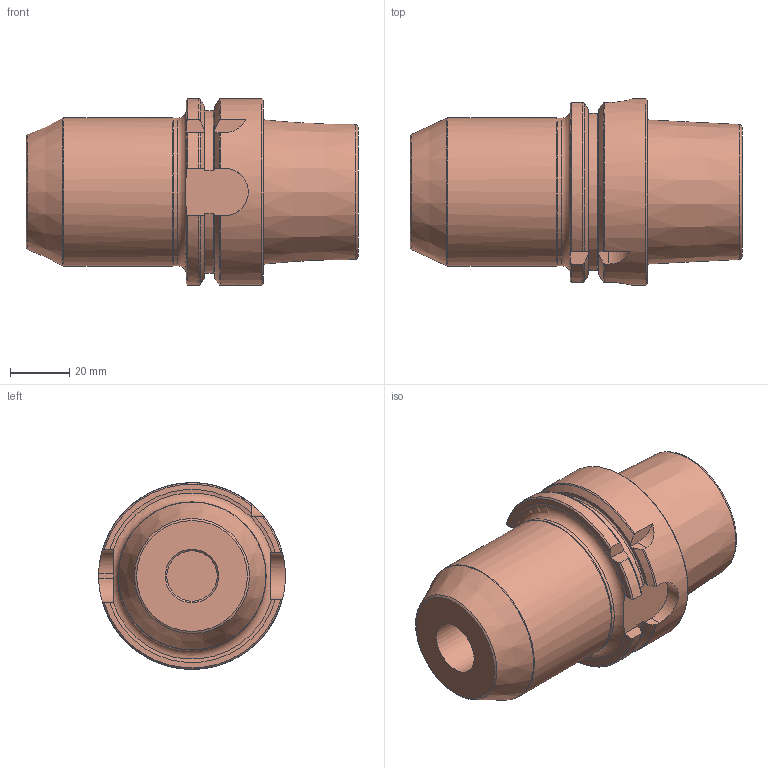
import cadquery as cq
import math


mid_arc = math.sqrt(0.5)

total_length = 112.0
nose_cone_length = 12.6
barrel_end = 49.5
flange_start = 54.0
flange_end = 80.0

barrel_radius = 50.0 / 2
nose_radius = 19.2
nose_chamfer = 0.5
barrel_edge_fillet = 0.7
neck_radius = 49.8 / 2
neck_step_length = 0.4
neck_fillet = 3.15

flange_radius = 63.0 / 2
flange_chamfer = 0.5
face_recess_radius = 29.2
face_recess_depth = 0.15
recess_floor = flange_start + face_recess_depth
neck_end = recess_floor - neck_fillet
groove_radius = 55.0 / 2
groove_start = 60.2
groove_end = 63.7
groove_bevel_depth = 2.4
groove_bevel_angle = 34.0
groove_edge_fillet = 0.5
groove_root_fillet = 0.5

shank_radius = 24.32
shank_taper = 1.0 / 20
shank_end_fillet = 1.0

bore_radius = 18.0 / 2
bore_bottom_chamfer = 0.5
bore_depth = 50.0

slot_floor = 26.5
slot_end = 75.0
mill_radius = 8.0
front_slot_width = 2 * mill_radius
back_slot_width = 18.0
notch_corner = 20.0
cut_start = neck_end
mill_arc_start = slot_end - mill_radius
mill_arc_middle = mill_radius * mid_arc


def revolve_about_x(profile):
    """Full turn of an XY profile about the X axis."""
    return profile.close().revolve(360, (0, 0, 0), (1, 0, 0))


class RingSelector(cq.Selector):
    """Selects the circular edge of a given radius at a given X."""

    tolerance = 1e-4

    def __init__(self, x, radius):
        self.x = x
        self.radius = radius

    def filter(self, edges):
        return [edge for edge in edges if self.matches(edge)]

    def matches(self, edge):
        if edge.geomType() != "CIRCLE":
            return False
        x_error = abs(edge.Center().x - self.x)
        return max(x_error, abs(edge.radius() - self.radius)) < self.tolerance


def make_body():
    """Turned body with its rounded and chamfered edges, before any cuts."""
    bevel_run = groove_bevel_depth * math.tan(math.radians(groove_bevel_angle))
    bevel_foot = flange_radius - groove_bevel_depth
    fillet_middle = neck_fillet * mid_arc
    fillet_end_radius = neck_radius + neck_fillet
    shank_end_radius = shank_radius - shank_taper * (total_length - flange_end)
    profile = (
        cq.Workplane("XY")
        .moveTo(0, 0)
        .lineTo(0, nose_radius)
        .lineTo(nose_cone_length, barrel_radius)
        .lineTo(barrel_end, barrel_radius)
        .lineTo(barrel_end + neck_step_length, neck_radius)
        .lineTo(neck_end, neck_radius)
        .threePointArc(
            (neck_end + fillet_middle, fillet_end_radius - fillet_middle),
            (recess_floor, fillet_end_radius),
        )
        .lineTo(flange_start, face_recess_radius)
        .lineTo(flange_start, flange_radius)
        .lineTo(groove_start - bevel_run, flange_radius)
        .lineTo(groove_start, bevel_foot)
        .lineTo(groove_start, groove_radius)
        .lineTo(groove_end, groove_radius)
        .lineTo(groove_end, bevel_foot)
        .lineTo(groove_end + bevel_run, flange_radius)
        .lineTo(flange_end, flange_radius)
        .lineTo(flange_end, shank_radius)
        .lineTo(total_length, shank_end_radius)
        .lineTo(total_length, 0)
    )
    body = revolve_about_x(profile)
    body = body.edges(RingSelector(0, nose_radius)).chamfer(nose_chamfer)
    body = body.edges(RingSelector(nose_cone_length, barrel_radius)).fillet(barrel_edge_fillet)
    body = body.edges(RingSelector(flange_start, flange_radius)).chamfer(flange_chamfer)
    body = body.edges(RingSelector(flange_end, flange_radius)).chamfer(flange_chamfer)
    body = body.edges(RingSelector(groove_start - bevel_run, flange_radius)).fillet(groove_edge_fillet)
    body = body.edges(RingSelector(groove_end + bevel_run, flange_radius)).fillet(groove_edge_fillet)
    body = body.edges(RingSelector(groove_end, groove_radius)).fillet(groove_root_fillet)
    return body.edges(RingSelector(total_length, shank_end_radius)).fillet(shank_end_fillet)


def make_bore():
    """Straight bore cutter with a chamfered bottom edge."""
    profile = (
        cq.Workplane("XY")
        .moveTo(0, 0)
        .lineTo(0, bore_radius)
        .lineTo(bore_depth - bore_bottom_chamfer, bore_radius)
        .lineTo(bore_depth, bore_radius - bore_bottom_chamfer)
        .lineTo(bore_depth, 0)
    )
    return revolve_about_x(profile)


def make_slot(width, side):
    """Slot cutter with a rounded end; side is -1 for -Y and +1 for +Y."""
    half_width = width / 2
    flat_half = half_width - mill_radius
    outline = (
        cq.Workplane("XZ", origin=(0, side * slot_floor, 0))
        .moveTo(cut_start, -half_width)
        .lineTo(mill_arc_start, -half_width)
        .threePointArc(
            (mill_arc_start + mill_arc_middle, -flat_half - mill_arc_middle),
            (slot_end, -flat_half),
        )
    )
    if flat_half > 0:
        outline = outline.lineTo(slot_end, flat_half)
    outline = (
        outline.threePointArc(
            (mill_arc_start + mill_arc_middle, flat_half + mill_arc_middle),
            (mill_arc_start, half_width),
        )
        .lineTo(cut_start, half_width)
        .close()
    )
    return outline.extrude(-side * flange_radius)


def make_notch():
    """Corner notch in the -Y +Z quadrant; its floor curves up at the far end."""
    arc_center = notch_corner + mill_radius
    return (
        cq.Workplane("XZ", origin=(0, -notch_corner, 0))
        .moveTo(cut_start, notch_corner)
        .lineTo(mill_arc_start, notch_corner)
        .threePointArc(
            (mill_arc_start + mill_arc_middle, arc_center - mill_arc_middle),
            (slot_end, arc_center),
        )
        .lineTo(slot_end, flange_radius)
        .lineTo(cut_start, flange_radius)
        .close()
        .extrude(flange_radius)
    )


result = (
    make_body()
    .cut(make_bore())
    .cut(make_slot(front_slot_width, -1))
    .cut(make_slot(back_slot_width, 1))
    .cut(make_notch())
)